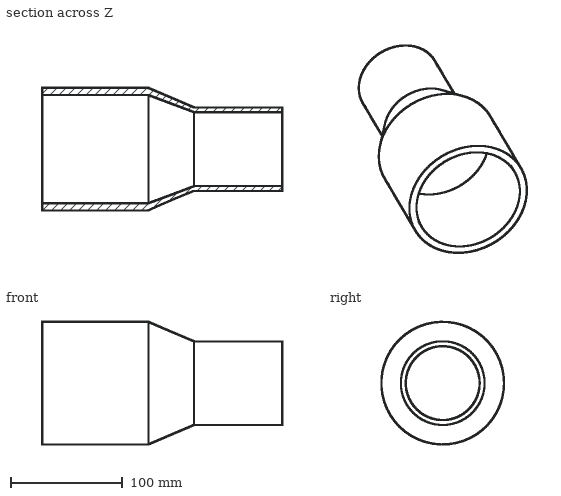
import cadquery as cq

total_length = 215.0
wide_length = 95.0
narrow_length = 79.0

wide_outer_diameter = 110.0
wide_bore_diameter = 96.8
narrow_outer_diameter = 75.0
narrow_bore_diameter = 66.0

wide_end = -total_length / 2
narrow_end = total_length / 2
cone_start = wide_end + wide_length
cone_end = narrow_end - narrow_length


def stepped_cone(wide_diameter, narrow_diameter):
    """Solid of revolution: wide cylinder, cone, narrow cylinder."""
    wide_radius = wide_diameter / 2
    narrow_radius = narrow_diameter / 2
    half_profile = (
        cq.Workplane("XY")
        .moveTo(wide_end, 0)
        .lineTo(wide_end, wide_radius)
        .lineTo(cone_start, wide_radius)
        .lineTo(cone_end, narrow_radius)
        .lineTo(narrow_end, narrow_radius)
        .lineTo(narrow_end, 0)
        .close()
    )
    return half_profile.revolve(360, (0, 0, 0), (1, 0, 0))


body = stepped_cone(wide_outer_diameter, narrow_outer_diameter)
bore = stepped_cone(wide_bore_diameter, narrow_bore_diameter)
result = body.cut(bore)